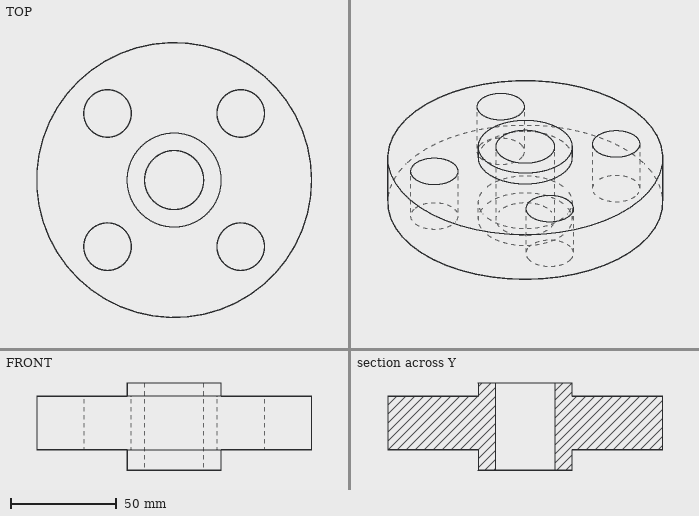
import cadquery as cq

flange_diameter = 130.0
flange_thickness = 25.5
hub_diameter = 44.5
hub_height_above = 6.2
hub_height_below = 9.6
bore_diameter = 27.8
bolt_hole_diameter = 22.4
bolt_hole_spacing = 63.0

total_height = hub_height_below + flange_thickness + hub_height_above

flange = cq.Workplane("XY").circle(flange_diameter / 2).extrude(flange_thickness)

hub = (
    cq.Workplane("XY", origin=(0, 0, -hub_height_below))
    .circle(hub_diameter / 2)
    .extrude(total_height)
)

bore = (
    cq.Workplane("XY", origin=(0, 0, -hub_height_below))
    .circle(bore_diameter / 2)
    .extrude(total_height)
)

bolt_holes = (
    cq.Workplane("XY")
    .rect(bolt_hole_spacing, bolt_hole_spacing, forConstruction=True)
    .vertices()
    .circle(bolt_hole_diameter / 2)
    .extrude(flange_thickness)
)

result = flange.union(hub).cut(bore).cut(bolt_holes)